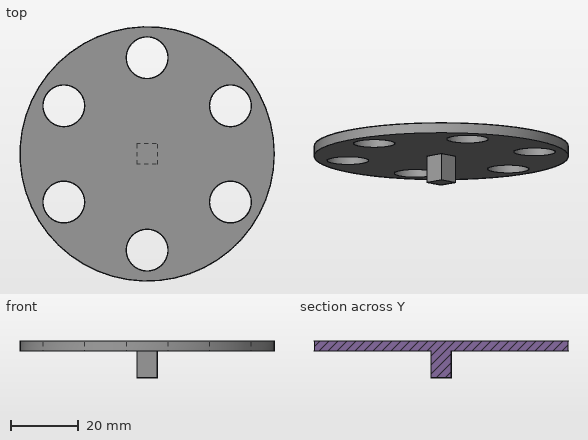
import cadquery as cq

plate_diameter = 75.0
plate_thickness = 3.0
total_height = 10.9

hole_count = 6
hole_diameter = 12.2
hole_circle_radius = 28.35
first_hole_angle = 90.0

peg_width = 6.0
peg_length = total_height - plate_thickness


def make_plate():
    """Disc resting on the XY plane, pierced by an even ring of holes."""
    disc = cq.Workplane("XY").circle(plate_diameter / 2).extrude(plate_thickness)
    holes = (
        cq.Workplane("XY")
        .polarArray(hole_circle_radius, first_hole_angle, 360, hole_count)
        .circle(hole_diameter / 2)
        .extrude(plate_thickness)
    )
    return disc.cut(holes)


def make_peg():
    """Square peg hanging down from the underside of the disc."""
    return cq.Workplane("XY").rect(peg_width, peg_width).extrude(-peg_length)


result = make_plate().union(make_peg())